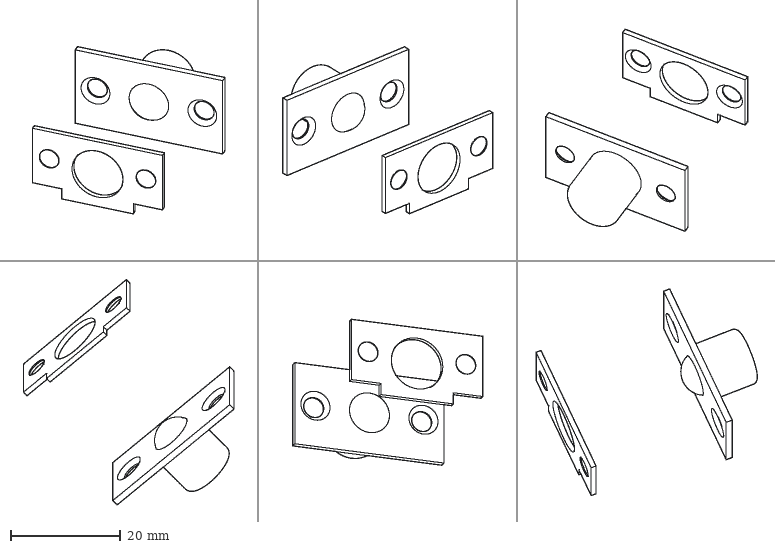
import cadquery as cq

total_depth = 36.72
rear_y = total_depth / 2
front_y = -total_depth / 2

face_width = 29.0
face_height = 16.0
face_thickness = 1.2
barrel_diameter = 10.8
barrel_length = 9.3
barrel_rounding = 1.0
face_rear_y = rear_y - barrel_length
face_front_y = face_rear_y - face_thickness

screw_spacing = 21.0
screw_diameter = 3.9
countersink_diameter = 5.65
countersink_angle = 90.0

ball_radius = 4.3
ball_projection = 2.45
ball_center_y = face_front_y - ball_projection + ball_radius

strike_width = 25.55
strike_height = 14.1
strike_thickness = 1.0
tab_width = 14.1
tab_height = 2.2
strike_hole_diameter = 10.0
strike_screw_spacing = 19.02
strike_screw_height = 1.1
strike_screw_diameter = 3.82
strike_countersink_diameter = 5.35


def plane_facing_front(y):
    """Sketch plane at depth y: local x is X, local y is Z, normal is -Y."""
    return cq.Workplane("XZ", origin=(0, y, 0))


def make_ball():
    return cq.Workplane("XY", origin=(0, ball_center_y, 0)).sphere(ball_radius)


def make_housing(ball):
    barrel = (
        plane_facing_front(rear_y)
        .circle(barrel_diameter / 2)
        .extrude(barrel_length)
        .faces(">Y")
        .edges()
        .fillet(barrel_rounding)
    )
    face = plane_facing_front(face_rear_y).rect(face_width, face_height).extrude(face_thickness)
    face = (
        face.faces("<Y")
        .workplane(origin=(0, face_front_y, 0))
        .pushPoints([(side * screw_spacing / 2, 0) for side in (-1, 1)])
        .cskHole(screw_diameter, countersink_diameter, countersink_angle)
    )
    return face.union(barrel).cut(ball)


def make_strike_plate():
    bottom_z = -strike_height / 2
    shoulder_z = bottom_z + tab_height
    plate_start = plane_facing_front(front_y + strike_thickness)
    plate = (
        plate_start
        .moveTo(0, bottom_z)
        .lineTo(tab_width / 2, bottom_z)
        .lineTo(tab_width / 2, shoulder_z)
        .lineTo(strike_width / 2, shoulder_z)
        .lineTo(strike_width / 2, strike_height / 2)
        .lineTo(0, strike_height / 2)
        .mirrorY()
        .extrude(strike_thickness)
    )
    ball_opening = plate_start.circle(strike_hole_diameter / 2).extrude(strike_thickness)
    return (
        plate.cut(ball_opening)
        .faces(">Y")
        .workplane(origin=(0, front_y + strike_thickness, 0))
        .pushPoints([(side * strike_screw_spacing / 2, strike_screw_height) for side in (-1, 1)])
        .cskHole(strike_screw_diameter, strike_countersink_diameter, countersink_angle)
    )


ball = make_ball()
housing = make_housing(ball)
strike_plate = make_strike_plate()

result = cq.Compound.makeCompound([body.solids().val() for body in (housing, ball, strike_plate)])